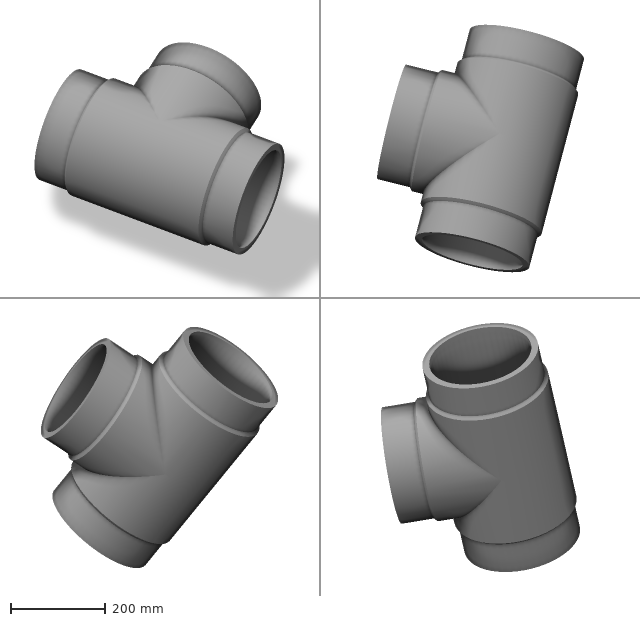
import cadquery as cq

run_length = 467.0
body_diameter = 265.0
spigot_diameter = 250.5
bore_diameter = 220.5
spigot_length = 70.5
shoulder_length = 6.5
branch_reach = 235.5

body_radius = body_diameter / 2
spigot_radius = spigot_diameter / 2
bore_radius = bore_diameter / 2


def stepped_arm(direction, length):
    """Solid arm from the tee centre: thick body, tapered shoulder, thinner spigot."""
    shoulder_end = length - spigot_length
    profile = (
        cq.Workplane("XY")
        .moveTo(0, 0)
        .lineTo(0, body_radius)
        .lineTo(shoulder_end - shoulder_length, body_radius)
        .lineTo(shoulder_end, spigot_radius)
        .lineTo(length, spigot_radius)
        .lineTo(length, 0)
        .close()
    )
    arm = profile.revolve(360, (0, 0, 0), (1, 0, 0))
    return arm.rotate((0, 0, 0), (0, 0, 1), direction)


right_arm = stepped_arm(0, run_length / 2)
left_arm = right_arm.mirror("YZ")
branch_arm = stepped_arm(90, branch_reach)
outside = right_arm.union(left_arm).union(branch_arm)

run_bore = cq.Workplane("YZ").circle(bore_radius).extrude(run_length / 2, both=True)
branch_bore = cq.Workplane("XZ").circle(bore_radius).extrude(-branch_reach)

result = outside.cut(run_bore.union(branch_bore)).clean()